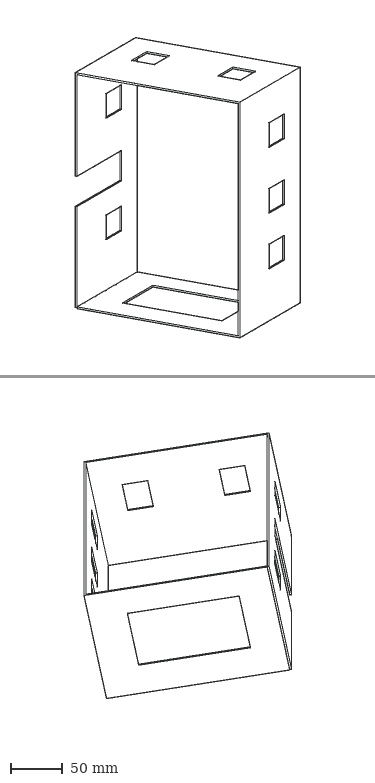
import cadquery as cq

width = 181.7
depth = 120.0
height = 240.4
wall = 2.0
floor_drop = 1.0

window_depth = 30.0
window_span = 25.0
window_front = 58.5
window_back = window_front + window_depth
roof_window_starts = (29.8, 125.0)
upper_window_bottom = 177.0
middle_window_bottom = 109.8
lower_window_bottom = 53.0

slot_height = 30.8
slot_top = middle_window_bottom + window_span
slot_bottom = slot_top - slot_height

opening_left = 34.5
opening_width = 109.5
opening_front = 32.0
opening_depth = 60.0


def block(x, y, z, length_x, length_y, length_z):
    """Box with its lowest corner at (x, y, z)."""
    return cq.Workplane("XY").box(length_x, length_y, length_z, centered=False).translate((x, y, z))


def side_window(x, bottom):
    """Cutter for a window through the side wall that starts at x."""
    return block(x, window_front, bottom, wall, window_depth, window_span)


inner_width = width - 2 * wall
inner_height = height - 2 * wall
right_wall_x = width - wall
frame = block(0, 0, 0, width, depth, height)
frame = frame.cut(block(wall, 0, wall, inner_width, depth, inner_height))

frame = frame.cut(block(0, 0, 0, wall, depth, floor_drop))

for start in roof_window_starts:
    frame = frame.cut(block(start, window_front, height - wall, window_span, window_depth, wall))

for bottom in (lower_window_bottom, middle_window_bottom, upper_window_bottom):
    frame = frame.cut(side_window(right_wall_x, bottom))
for bottom in (lower_window_bottom, upper_window_bottom):
    frame = frame.cut(side_window(0, bottom))

frame = frame.cut(block(0, 0, slot_bottom, wall, window_back, slot_height))

frame = frame.cut(block(opening_left, opening_front, 0, opening_width, opening_depth, wall))

result = frame